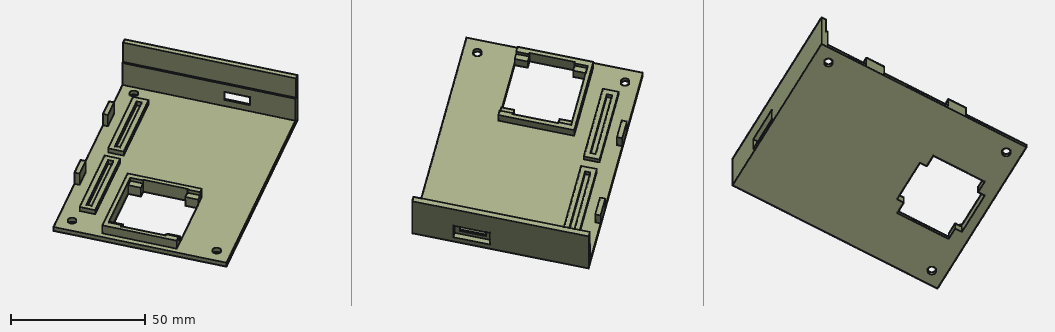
import cadquery as cq

width = 67.5
length = 87.5
plate_thickness = 2.0

wall_height = 22.2
wall_lower_thickness = 2.7
wall_upper_thickness = 2.0
ledge_height = 12.8

window_left = 39.7
window_width = 10.0
window_bottom = 5.0
window_height = 3.9

recess_depth = wall_upper_thickness
recess_margin = recess_depth

hole_diameter = 3.2
hole_inset = 5.5
rear_hole_y = 81.5

station_pitch = 35.0
station_count = 2
connector_left = 6.6
connector_front = 11.55
connector_width = 6.0
connector_length = 30.7
connector_height = 2.0
connector_rim = 2.0
tab_front = 25.7
tab_width = 2.0
tab_length = 7.6
tab_height = 5.5

frame_left = 18.5
frame_right = 47.4
frame_front = 2.0
frame_rear = 33.0
frame_height = 3.9
frame_wall = 1.7
opening_left = frame_left + frame_wall
opening_front = frame_front + frame_wall
opening_rear = frame_rear - frame_wall

post_width = 5.0
post_drop = 1.6
front_pad = 0.6
rear_pad = 0.35
front_post_edge = 6.6
rear_post_edge = 28.4


def box(x, y, z, size_x, size_y, size_z):
    """Box located by its left, front, bottom corner."""
    return cq.Workplane("XY").box(size_x, size_y, size_z, centered=False).translate((x, y, z))


profile = [
    (0, 0),
    (length, 0),
    (length, wall_height),
    (length - wall_upper_thickness, wall_height),
    (length - wall_upper_thickness, ledge_height),
    (length - wall_lower_thickness, ledge_height),
    (length - wall_lower_thickness, plate_thickness),
    (0, plate_thickness),
]
result = cq.Workplane("YZ").polyline(profile).close().extrude(width)

window = box(
    window_left, length - wall_lower_thickness, window_bottom,
    window_width, wall_lower_thickness, window_height,
)
recess = box(
    window_left - recess_margin, length - recess_depth, window_bottom - recess_margin,
    window_width + 2 * recess_margin, recess_depth, window_height + 2 * recess_margin,
)
result = result.cut(window).cut(recess)

hole_centers = [
    (hole_inset, hole_inset),
    (width - hole_inset, hole_inset),
    (hole_inset, rear_hole_y),
]
holes = cq.Workplane("XY").pushPoints(hole_centers).circle(hole_diameter / 2).extrude(plate_thickness)
result = result.cut(holes)


def connector(front):
    """Low bar with a slot reaching down to the plate."""
    bar = box(
        connector_left, front, plate_thickness,
        connector_width, connector_length, connector_height,
    )
    slot = box(
        connector_left + connector_rim, front + connector_rim, plate_thickness,
        connector_width - 2 * connector_rim, connector_length - 2 * connector_rim, connector_height,
    )
    return bar.cut(slot)


for station in range(station_count):
    offset = station * station_pitch
    tab = box(0, tab_front + offset, plate_thickness, tab_width, tab_length, tab_height)
    result = result.union(connector(connector_front + offset)).union(tab)

frame = box(
    frame_left, frame_front, plate_thickness,
    frame_right - frame_left, frame_rear - frame_front, frame_height,
)
opening_height = plate_thickness + frame_height
opening = box(
    opening_left, opening_front, 0,
    frame_right - opening_left, opening_rear - opening_front, opening_height,
)
result = result.union(frame).cut(opening)

for post_left in (opening_left, frame_right - post_width):
    front_post = box(
        post_left, opening_front, 0,
        post_width, front_post_edge - opening_front, opening_height - post_drop,
    )
    rear_post = box(
        post_left, rear_post_edge, 0,
        post_width, opening_rear - rear_post_edge, opening_height - post_drop,
    )
    front_thickening = box(post_left, opening_front, 0, post_width, front_pad, opening_height)
    rear_thickening = box(post_left, opening_rear - rear_pad, 0, post_width, rear_pad, opening_height)
    for corner_piece in (front_post, rear_post, front_thickening, rear_thickening):
        result = result.union(corner_piece)